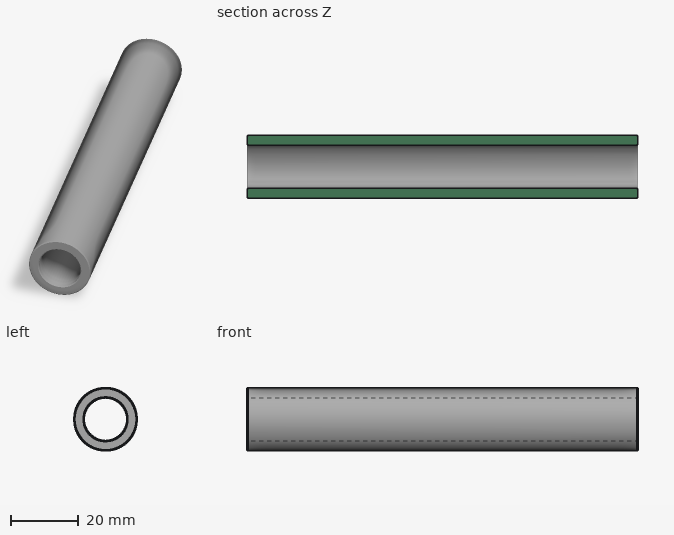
import cadquery as cq

length = 115.6
outer_diameter = 18.7
bore_diameter = 12.6
edge_chamfer = 0.3

tube = (
    cq.Workplane("YZ", origin=(-length / 2, 0, 0))
    .circle(outer_diameter / 2)
    .circle(bore_diameter / 2)
    .extrude(length)
)

result = tube.faces("<X or >X").edges().chamfer(edge_chamfer)